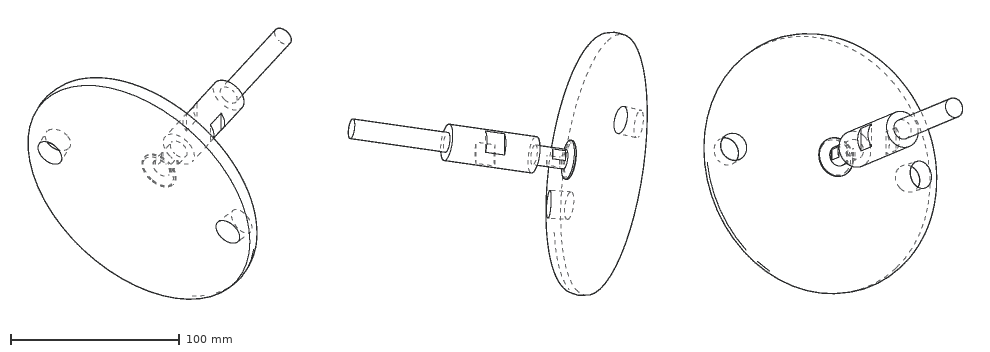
import cadquery as cq
import math


total_height = 159.0
foot_radius = 79.0
foot_base_radius = 78.4
rim_widest_height = 4.1
shoulder_height = 9.9
shoulder_radius = 78.0
shoulder_fillet = 3.8
foot_top_height = 21.1
foot_top_radius = 11.5

hole_diameter = 16.5
hole_offset = 62.8
hole_reach = 31.8
cone_angle = math.atan2(foot_top_height - shoulder_height, shoulder_radius - foot_top_radius)

rod_diameter = 12.0
collar_radius = 11.8
collar_foot_radius = 10.8
collar_edge_bottom = 21.8
collar_edge_top = 22.7
collar_top = 24.8
sleeve_diameter = 22.0
sleeve_bottom = 44.0
sleeve_length = 55.0

rod_flat_bottom = 26.0
rod_flat_length = 8.1
rod_flat_width = 10.0
sleeve_flat_length = 12.0
sleeve_flat_width = 17.0
sleeve_flat_bottom = sleeve_bottom + (sleeve_length - sleeve_flat_length) / 2


def revolve_about_y(profile):
    """Turn a closed half profile (radius, height) into a solid about the Y axis."""
    return profile.close().revolve(360, (0, 0, 0), (0, 1, 0))


def mounting_hole(side):
    """Cutter leaning outwards on the given side (-1 or +1) of the foot."""
    entry = cq.Vector(side * hole_offset, 0, 0)
    axis = cq.Vector(side * math.sin(cone_angle), math.cos(cone_angle), 0)
    start = entry - axis * hole_reach
    return cq.Workplane(cq.Solid.makeCylinder(hole_diameter / 2, 2 * hole_reach, start, axis))


def make_foot():
    """Conical disc with a tapered rim, a rounded shoulder and two holes."""
    foot = revolve_about_y(
        cq.Workplane("XY")
        .lineTo(foot_base_radius, 0)
        .lineTo(foot_radius, rim_widest_height)
        .lineTo(shoulder_radius, shoulder_height)
        .lineTo(foot_top_radius, foot_top_height)
        .lineTo(0, foot_top_height)
    )
    shoulder_index = 2
    circles = foot.edges("%CIRCLE").sort(lambda edge: edge.Center().y)
    foot = foot.newObject([foot.val().fillet(shoulder_fillet, [circles.vals()[shoulder_index]])])
    for side in (-1, 1):
        foot = foot.cut(mounting_hole(side))
    return foot


def cut_wrench_flats(body, diameter, width, bottom, length):
    """Cut two parallel flats, the given width apart, into a round stretch of the body."""
    depth = (diameter - width) / 2
    for side in (-1, 1):
        cutter = cq.Workplane("XY").box(depth, length, diameter)
        body = body.cut(cutter.translate((side * (width + depth) / 2, bottom + length / 2, 0)))
    return body


def make_spindle():
    """Rod with a flared collar resting on the foot, a thick sleeve and two pairs of flats."""
    rod_radius = rod_diameter / 2
    sleeve_radius = sleeve_diameter / 2
    sleeve_top = sleeve_bottom + sleeve_length
    spindle = revolve_about_y(
        cq.Workplane("XY")
        .moveTo(0, foot_top_height)
        .lineTo(collar_foot_radius, foot_top_height)
        .lineTo(collar_radius, collar_edge_bottom)
        .lineTo(collar_radius, collar_edge_top)
        .lineTo(rod_radius, collar_top)
        .lineTo(rod_radius, sleeve_bottom)
        .lineTo(sleeve_radius, sleeve_bottom)
        .lineTo(sleeve_radius, sleeve_top)
        .lineTo(rod_radius, sleeve_top)
        .lineTo(rod_radius, total_height)
        .lineTo(0, total_height)
    )
    spindle = cut_wrench_flats(spindle, rod_diameter, rod_flat_width, rod_flat_bottom, rod_flat_length)
    return cut_wrench_flats(
        spindle, sleeve_diameter, sleeve_flat_width, sleeve_flat_bottom, sleeve_flat_length
    )


foot = make_foot()
spindle = make_spindle()

result = cq.Compound.makeCompound([foot.val(), spindle.val()])